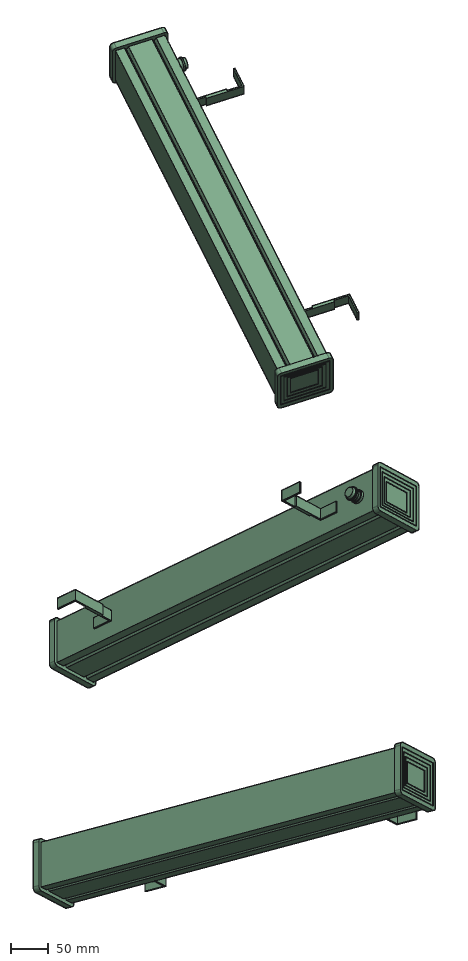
import cadquery as cq
length = 600.0
total_height = 75.0

housing_depth = 71.0
housing_height = 64.0
groove_half_width = 3.0
groove_depth = 5.0
groove_offset = 20.0
housing_back = housing_depth / 2

cap_overhang = 4.55
cap_depth = housing_depth + 2 * cap_overhang
cap_thickness = 9.5
cap_corner_radius = 6.0
step_count = 4
step_width = 5.05
step_depth = 1.0
recess_depth_y = 70.0
recess_height = 61.0

gland_x = -260.0
gland_length = 18.0
gland_barrel_radius = 8.5
gland_neck_radius = 8.0
gland_flange_radius = 9.5
gland_tip_radius = 7.0
gland_base_end = 3.5
gland_neck_end = 7.0
gland_collar_start = 11.5
gland_collar_end = 14.0

strip_width = 16.0
strip_thickness = 2.5
bracket_lap_x = 191.0
bracket_outer_x = 221.5
inner_strip_start = 18.5
outer_strip_end = 49.0
bracket_depth = 72.5
bracket_back = housing_back + bracket_depth


def centered_box(size_x, size_y, size_z, center_x):
    return cq.Workplane("XY").box(size_x, size_y, size_z).translate((center_x, 0, 0))


def stepped_recess(side):
    """Nested rectangular steps that sink into the outer face of the cap on one side."""
    recess = cq.Workplane("XY")
    for step in range(1, step_count + 1):
        inset = 2 * step_width * (step - 1)
        step_box = centered_box(
            step_depth,
            recess_depth_y - inset,
            recess_height - inset,
            side * (length / 2 - step_depth * (step - 0.5)),
        )
        recess = recess.union(step_box)
    return recess


def make_end_cap(side):
    center_x = side * (length - cap_thickness) / 2
    cap = centered_box(cap_thickness, cap_depth, total_height, center_x)
    cap = cap.edges("|X").fillet(cap_corner_radius)
    return cap.cut(stepped_recess(side))


def v_groove(y, face):
    """V-shaped groove along X in the top (face = 1) or bottom (face = -1) of the housing."""
    surface = face * housing_height / 2
    profile = [
        (y - groove_half_width, surface),
        (y + groove_half_width, surface),
        (y, surface - face * groove_depth),
    ]
    return cq.Workplane("YZ").polyline(profile).close().extrude(length / 2, both=True)


def make_extrusion():
    extrusion = centered_box(length - 2 * cap_thickness, housing_depth, housing_height, 0)
    for face in (-1, 1):
        for y in (-groove_offset, groove_offset):
            extrusion = extrusion.cut(v_groove(y, face))
    return extrusion


def make_gland():
    """Turned gland: base flange, neck, barrel, collar and tapered tip, revolved about +Y."""
    profile = [
        (0, 0),
        (0, gland_flange_radius),
        (gland_base_end, gland_flange_radius),
        (gland_base_end, gland_neck_radius),
        (gland_neck_end, gland_neck_radius),
        (gland_neck_end, gland_barrel_radius),
        (gland_collar_start, gland_barrel_radius),
        (gland_collar_start, gland_flange_radius),
        (gland_collar_end, gland_flange_radius),
        (gland_collar_end, gland_barrel_radius),
        (gland_length, gland_tip_radius),
        (gland_length, 0),
    ]
    sketch = cq.Workplane("YZ", origin=(gland_x, housing_back, 0)).polyline(profile).close()
    return sketch.revolve(360, (0, 0, 0), (1, 0, 0))


def make_housing():
    housing = make_extrusion()
    for side in (-1, 1):
        housing = housing.union(make_end_cap(side))
    return housing.union(make_gland())


def make_bracket(side):
    """Two lapped L-shaped strips: one foot on the housing, one flange at the back."""
    outline = [
        (bracket_outer_x, housing_back),
        (bracket_lap_x, housing_back),
        (bracket_lap_x, housing_back + inner_strip_start),
        (bracket_lap_x - strip_thickness, housing_back + inner_strip_start),
        (bracket_lap_x - strip_thickness, bracket_back),
        (bracket_outer_x, bracket_back),
        (bracket_outer_x, bracket_back - strip_thickness),
        (bracket_lap_x, bracket_back - strip_thickness),
        (bracket_lap_x, housing_back + outer_strip_end),
        (bracket_lap_x + strip_thickness, housing_back + outer_strip_end),
        (bracket_lap_x + strip_thickness, housing_back + strip_thickness),
        (bracket_outer_x, housing_back + strip_thickness),
    ]
    points = [(side * x, y) for x, y in outline]
    return cq.Workplane("XY").polyline(points).close().extrude(strip_width / 2, both=True)


housing = make_housing()
brackets = [make_bracket(side) for side in (-1, 1)]

result = cq.Compound.makeCompound([housing.val(), *[bracket.val() for bracket in brackets]])